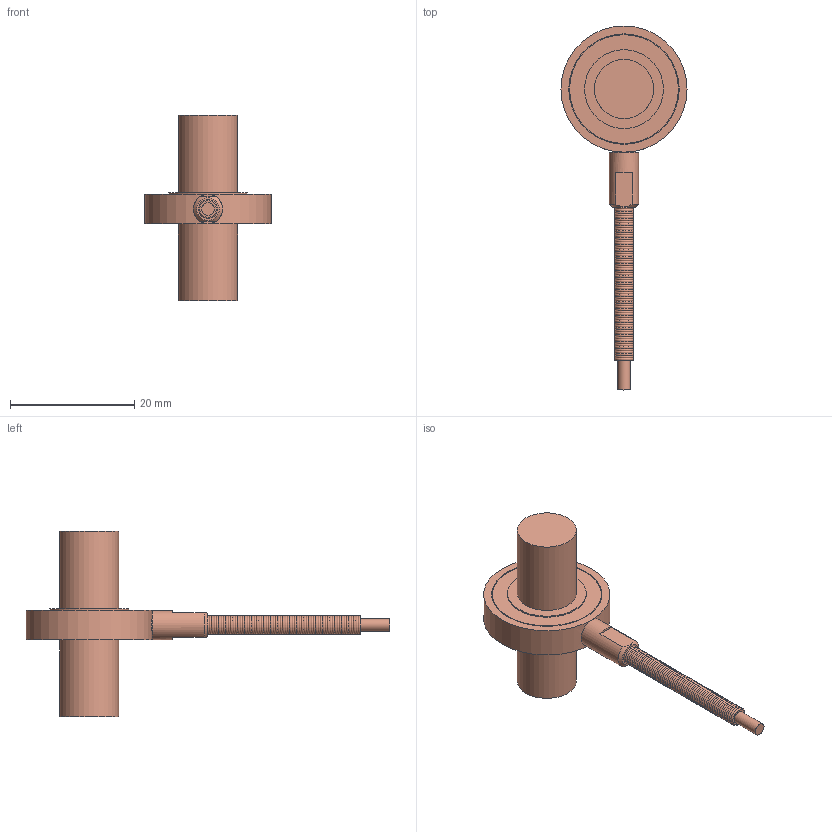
import cadquery as cq

disc_diameter = 20.32
disc_height = 4.78
ring_diameter = 12.7
ring_height = 0.2
groove_outer_diameter = 17.78
groove_inner_diameter = 17.53
groove_depth = 0.2

stud_diameter = 9.525
overall_height = 29.84
upper_stud_length = 12.7
lower_stud_length = overall_height - disc_height - upper_stud_length

fitting_diameter = 4.7
fitting_start = disc_diameter / 2
fitting_end = 19.05
fitting_chamfer = 0.5
flat_start = 13.4
flat_spacing = 3.9

neck_diameter = 3.5
neck_depth_in_disc = 1.0

coil_diameter = 3.05
coil_pitch = 0.381
coil_root_diameter = coil_diameter - coil_pitch
coil_count = 65
spring_end = 43.69
spring_start = spring_end - coil_count * coil_pitch

cable_diameter = 2.01
overall_length = 58.61
cable_end = overall_length - disc_diameter / 2


def cylinder_along_z(diameter, z_bottom, height):
    return cq.Workplane("XY").workplane(offset=z_bottom).circle(diameter / 2).extrude(height)


def cylinder_along_cable(diameter, start, end):
    """Cylinder on the cable axis between two distances from the disc axis."""
    return cq.Workplane("XZ").workplane(offset=start).circle(diameter / 2).extrude(end - start)


def make_body():
    """Disc centred on the origin, with its groove, ring and two studs."""
    disc_top = disc_height / 2
    disc = cylinder_along_z(disc_diameter, -disc_top, disc_height)
    groove_floor = disc_top - groove_depth
    groove = cylinder_along_z(groove_outer_diameter, groove_floor, groove_depth).cut(
        cylinder_along_z(groove_inner_diameter, groove_floor, groove_depth)
    )
    ring = cylinder_along_z(ring_diameter, disc_top, ring_height)
    upper_stud = cylinder_along_z(stud_diameter, disc_top, upper_stud_length)
    lower_stud = cylinder_along_z(stud_diameter, -disc_top - lower_stud_length, lower_stud_length)
    return disc.cut(groove).union(ring).union(upper_stud).union(lower_stud)


def make_fitting():
    """Round fitting with a chamfered outer end, a wrench flat above and below, and its neck."""
    fitting = cylinder_along_cable(fitting_diameter, fitting_start, fitting_end)
    fitting = fitting.faces("<Y").chamfer(fitting_chamfer)
    flat_length = fitting_end - flat_start
    flat_center_y = -(flat_start + fitting_end) / 2
    cutter = cq.Workplane("XY").box(fitting_diameter, flat_length, fitting_diameter)
    for side in (1, -1):
        cutter_z = side * (flat_spacing + fitting_diameter) / 2
        fitting = fitting.cut(cutter.translate((0, flat_center_y, cutter_z)))
    neck = cylinder_along_cable(neck_diameter, fitting_start - neck_depth_in_disc, fitting_start)
    return fitting.union(neck)


def make_spring():
    """Revolved profile with one half-round arc per coil, from root to crest and back to root."""
    root = coil_root_diameter / 2
    crest = coil_diameter / 2
    profile = cq.Workplane("XY").moveTo(0, -spring_start).lineTo(root, -spring_start)
    for coil in range(coil_count):
        start = spring_start + coil * coil_pitch
        profile = profile.threePointArc((crest, -start - coil_pitch / 2), (root, -start - coil_pitch))
    profile = profile.lineTo(0, -spring_end).close()
    return profile.revolve(360, (0, 0, 0), (0, 1, 0))


def make_cable():
    return cylinder_along_cable(cable_diameter, spring_end, cable_end)


result = make_body().union(make_fitting()).union(make_spring()).union(make_cable())